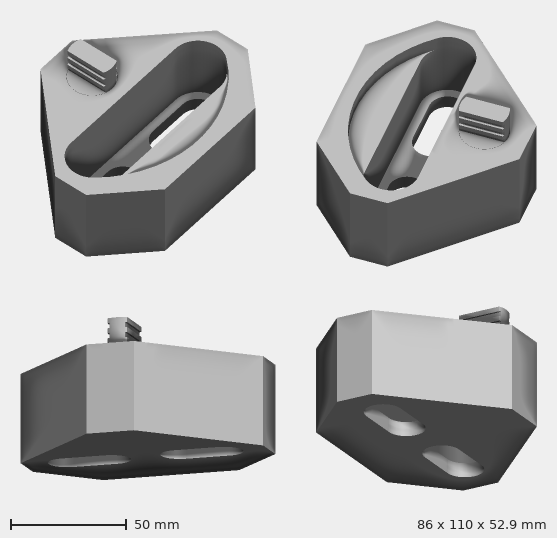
import cadquery as cq
import math

block_length = 86.0
block_width = 110.0
block_height = 39.6
left_cut_x = 44.5
left_cut_y = 44.2
right_cut = 24.2

pocket_x = 49.9
pocket_width = 25.0
pocket_length = 96.0
pocket_depth = 33.0
slot_width = 16.9
slot_length = 37.0
slot_y = (pocket_length - pocket_width + slot_width - slot_length) / 2

pin_x = 20.0
pin_radius = 11.0
pin_height = 13.3
blade_thickness = 9.0
tooth_depth = 1.0
tooth_count = 3
tooth_pitch = pin_height / tooth_count
gap_width = 0.1
gap_depth = 11.0

end_radius = pocket_width / 2
end_offset_x = pocket_x - pin_x
end_offset_y = pocket_length / 2 - end_radius
end_distance = math.hypot(end_offset_x, end_offset_y)
sweep_radius = end_distance + end_radius
tangent_x = pin_x + sweep_radius * end_offset_x / end_distance
sweep_depth = 6.9


def make_block():
    half_width = block_width / 2
    left_y = half_width - left_cut_y
    right_y = half_width - right_cut
    outline = [
        (0, -left_y),
        (left_cut_x, -half_width),
        (block_length - right_cut, -half_width),
        (block_length, -right_y),
        (block_length, right_y),
        (block_length - right_cut, half_width),
        (left_cut_x, half_width),
        (0, left_y),
    ]
    return cq.Workplane("XY").polyline(outline).close().extrude(block_height)


def make_pocket():
    return (
        cq.Workplane("XY", origin=(pocket_x, 0, block_height))
        .slot2D(pocket_length, pocket_width, 90)
        .extrude(-pocket_depth)
    )


def make_through_slots():
    return (
        cq.Workplane("XY", origin=(pocket_x, 0, 0))
        .pushPoints([(0, -slot_y), (0, slot_y)])
        .slot2D(slot_length, slot_width, 90)
        .extrude(block_height)
    )


def make_sweep_recess():
    """Part of the swept disc on the far side of its tangent points."""
    floor_z = block_height - sweep_depth
    disc = cq.Workplane("XY", origin=(pin_x, 0, floor_z)).circle(sweep_radius).extrude(sweep_depth)
    far_side = cq.Workplane("XY", origin=(tangent_x, 0, floor_z)).box(
        block_length, block_width, sweep_depth, centered=(False, True, False)
    )
    return disc.intersect(far_side)


def make_pin_gap():
    """Hairline ring that separates the pin from the block."""
    return (
        cq.Workplane("XY", origin=(pin_x, 0, block_height))
        .circle(pin_radius + gap_width)
        .circle(pin_radius)
        .extrude(-gap_depth)
    )


def make_blade():
    """Two-flat blade; each tooth is the upper half of one pitch."""
    base = cq.Workplane("XY", origin=(pin_x, 0, block_height))
    pin = base.circle(pin_radius).extrude(pin_height)
    core_thickness = blade_thickness - 2 * tooth_depth
    bottom = (True, True, False)
    profile = base.box(2 * pin_radius, core_thickness, pin_height, centered=bottom)
    for index in range(tooth_count):
        tooth_z = block_height + (index + 0.5) * tooth_pitch
        tooth = cq.Workplane("XY", origin=(pin_x, 0, tooth_z)).box(
            2 * pin_radius, blade_thickness, tooth_pitch / 2, centered=bottom
        )
        profile = profile.union(tooth)
    return pin.intersect(profile)


result = (
    make_block()
    .cut(make_pocket())
    .cut(make_through_slots())
    .cut(make_sweep_recess())
    .cut(make_pin_gap())
    .union(make_blade())
)